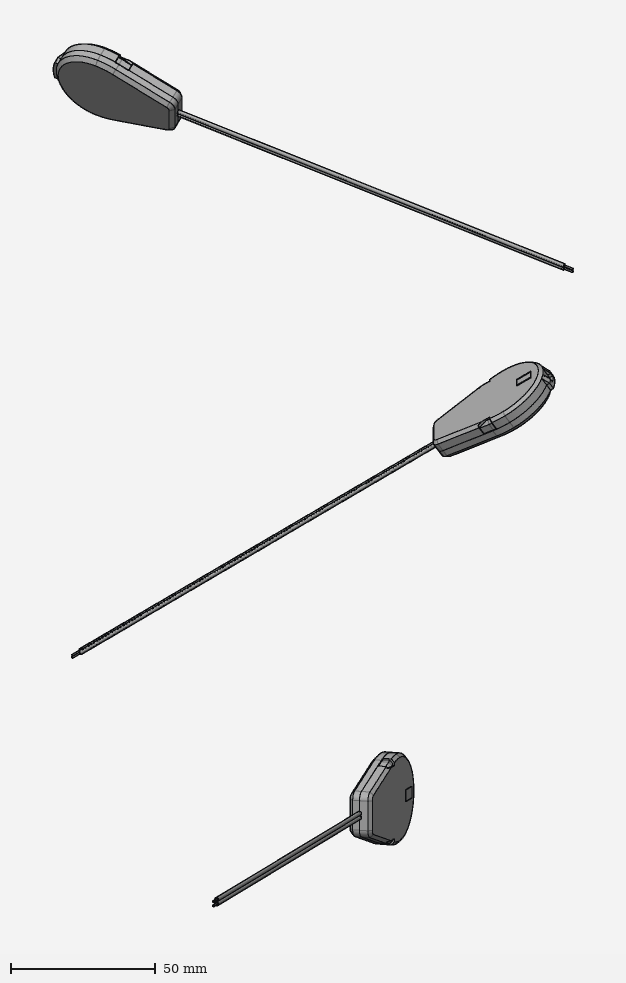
import cadquery as cq
import math

total_length = 199.2
total_depth = 8.5
head_radius = 16.0
lip_height = 1.2
lip_radius = head_radius + lip_height
head_x = lip_radius
shoulder_radius = 23.0
taper_angle = math.radians(18)
housing_end_x = 47.0
corner_radius = 3.0

front_depth = 4.0
mark_height = 0.3
rear_depth = total_depth - front_depth - mark_height
front_chamfer = 1.5
rear_chamfer = 1.2

lip_width = 9.0
slot_width = 4.2
slot_front_y = -1.2
rear_wall_y = rear_depth - rear_chamfer
front_wall_y = front_depth - front_chamfer

mark_x = 5.4
mark_length = 6.0
mark_width = slot_width

notch_x = 22.7
notch_length = 5.2
notch_depth = 0.5
notch_reach = 3.0

wire_diameter = 1.5
core_diameter = 0.7
insulation_end_x = 195.9


def outline(inset=0.0):
    """Teardrop outline in the XZ plane, moved inwards by the inset."""
    head = head_radius - inset
    shoulder = shoulder_radius - inset
    shoulder_z = head_radius - shoulder_radius
    end_x = housing_end_x - inset
    half_angle = taper_angle / 2
    mid = (head_x + shoulder * math.sin(half_angle), shoulder_z + shoulder * math.cos(half_angle))
    taper = (head_x + shoulder * math.sin(taper_angle), shoulder_z + shoulder * math.cos(taper_angle))
    end_z = taper[1] - (end_x - taper[0]) * math.tan(taper_angle)
    return (
        cq.Workplane("XZ")
        .moveTo(head_x, head)
        .threePointArc(mid, taper)
        .lineTo(end_x, end_z)
        .lineTo(end_x, -end_z)
        .lineTo(taper[0], -taper[1])
        .threePointArc((mid[0], -mid[1]), (head_x, -head))
        .threePointArc((head_x - head, 0), (head_x, head))
        .close()
    )


def shell_block(depth, side, chamfer, inset=0.0):
    """Solid shell from the parting plane to its outer face; side is +1 for the rear, -1 for the front."""
    return (
        outline(inset)
        .extrude(-side * depth)
        .edges("|Y and >X")
        .fillet(corner_radius - inset)
        .faces(">Y" if side > 0 else "<Y")
        .chamfer(chamfer)
    )


def box(x, y, length, depth, width):
    """Box from the corner position x, y, centred on Z = 0."""
    return cq.Workplane("XY").box(length, depth, width, centered=(False, False, True)).translate((x, y, 0))


def lip_sector(y, depth):
    """Envelope that keeps only the lip's width on the round end."""
    return box(0, y, head_x, depth, lip_width)


def lip_slot():
    """Slot through the lip down to the wall of the round end."""
    slot = box(0, slot_front_y, head_x, rear_depth - slot_front_y, slot_width)
    head = cq.Workplane("XZ").center(head_x, 0).circle(head_radius).extrude(total_depth, both=True)
    return slot.cut(head)


def front_shell():
    lip = cq.Workplane("XZ").center(head_x, 0).circle(lip_radius).extrude(front_wall_y)
    lip = lip.intersect(lip_sector(-front_wall_y, front_wall_y))
    return shell_block(front_depth, -1, front_chamfer).union(lip).cut(lip_slot())


def rim_notches():
    """Notches that follow the rim at a constant depth below its surface."""
    notches = box(notch_x, 0, notch_length, rear_depth, 2 * head_radius)
    inner_width = 2 * (head_radius - notch_reach)
    notches = notches.cut(box(notch_x, 0, notch_length, rear_depth, inner_width))
    return notches.cut(shell_block(rear_depth - notch_depth, 1, rear_chamfer, notch_depth))


def rear_shell():
    lip = cq.Workplane(
        cq.Solid.makeCone(lip_radius, head_radius, rear_wall_y, cq.Vector(head_x, 0, 0), cq.Vector(0, 1, 0))
    )
    lip = lip.intersect(lip_sector(0, rear_wall_y))
    mark = box(mark_x, rear_depth, mark_length, mark_height, mark_width)
    block = shell_block(rear_depth, 1, rear_chamfer).cut(rim_notches())
    return block.union(lip).cut(lip_slot()).union(mark)


def rod(diameter, end_x, z):
    """Round bar from the end of the housing to end_x."""
    return (
        cq.Workplane("YZ", origin=(housing_end_x, 0, z))
        .circle(diameter / 2)
        .extrude(end_x - housing_end_x)
    )


cores = []
insulations = []
for side in (1, -1):
    wire_z = side * wire_diameter / 2
    core = rod(core_diameter, total_length, wire_z)
    cores.append(core.val())
    insulations.append(rod(wire_diameter, insulation_end_x, wire_z).cut(core).val())

result = cq.Compound.makeCompound([front_shell().val(), rear_shell().val(), *insulations, *cores])